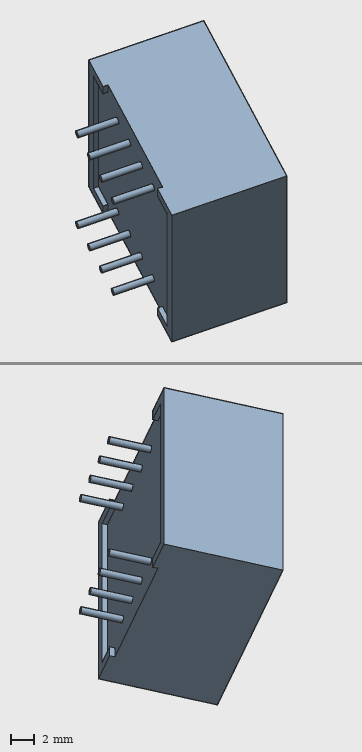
import cadquery as cq

case_side = 17.7
total_depth = 13.72
case_depth = 10.5
rim_width = 1.01
recess_depth = 0.46
corner_length = 3.05

pin_diameter = 0.62
pin_pitch = 2.53
pins_per_row = 4
row_spacing = 12.69

pin_tip_y = 0.0
rim_y = total_depth - case_depth
floor_y = rim_y + recess_depth
pocket_side = case_side - 2 * rim_width
gap_width = case_side - 2 * corner_length


def make_case():
    """Block with a shallow pocket, open through the rim at the top and bottom."""
    centered = (True, False, True)
    block = cq.Workplane("XY").box(case_side, case_depth, case_side, centered=centered)
    pocket = cq.Workplane("XY").box(pocket_side, recess_depth, pocket_side, centered=centered)
    rim_gap = cq.Workplane("XY").box(gap_width, recess_depth, case_side, centered=centered)
    return block.cut(pocket).cut(rim_gap).translate((0, rim_y, 0))


def make_pins():
    """Two rows of round pins, from the pocket floor to the tips."""
    return (
        cq.Workplane("XZ", origin=(0, floor_y, 0))
        .rarray(pin_pitch, row_spacing, pins_per_row, 2)
        .circle(pin_diameter / 2)
        .extrude(floor_y - pin_tip_y)
    )


result = make_case().union(make_pins())